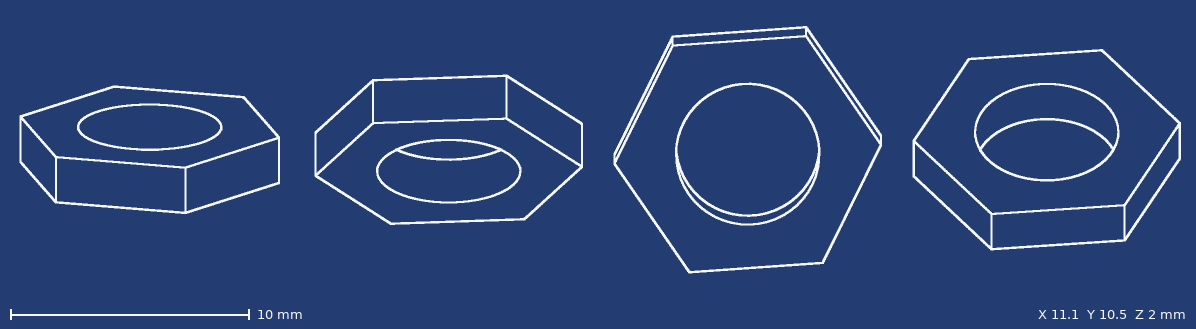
import cadquery as cq
import math

width_x = 11.05
thickness = 2.0
bore_diameter = 6.0
corner_angle = 9.4
side_count = 6

corner_diameter = width_x / math.cos(math.radians(corner_angle))


def hexagonal_body():
    """Flat hexagonal prism turned about Z."""
    prism = cq.Workplane("XY").polygon(side_count, corner_diameter).extrude(thickness)
    return prism.rotate((0, 0, 0), (0, 0, 1), corner_angle)


result = hexagonal_body().faces(">Z").workplane().hole(bore_diameter)